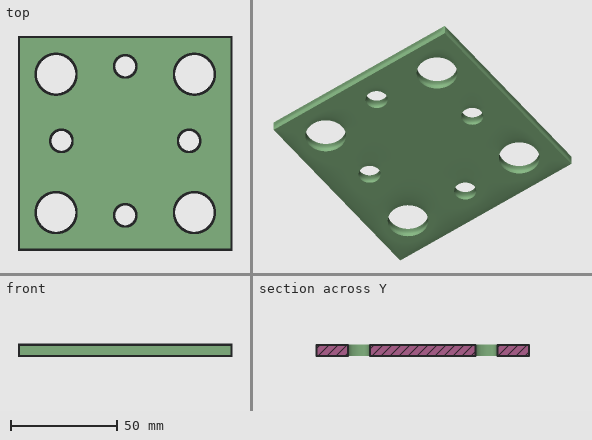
import cadquery as cq

side = 100.0
thickness = 5.4

corner_hole_diameter = 19.1
corner_hole_spacing = 65.0

edge_hole_diameter = 10.4
edge_hole_spacing_x = 60.0
edge_hole_spacing_y = 70.0
edge_pattern_offset_y = 1.2

plate = cq.Workplane("XY").box(side, side, thickness)

plate_with_corner_holes = (
    plate.faces(">Z")
    .workplane(origin=(0, 0, 0))
    .rect(corner_hole_spacing, corner_hole_spacing, forConstruction=True)
    .vertices()
    .hole(corner_hole_diameter)
)

edge_hole_centers = [
    (-edge_hole_spacing_x / 2, 0),
    (edge_hole_spacing_x / 2, 0),
    (0, -edge_hole_spacing_y / 2),
    (0, edge_hole_spacing_y / 2),
]

result = (
    plate_with_corner_holes.faces(">Z")
    .workplane(origin=(0, edge_pattern_offset_y, 0))
    .pushPoints(edge_hole_centers)
    .hole(edge_hole_diameter)
)